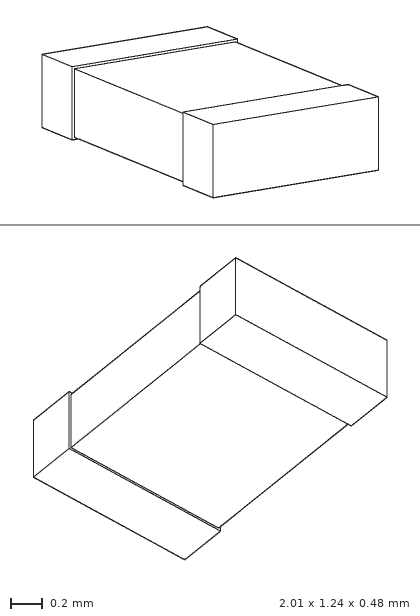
import cadquery as cq

total_length = 2.01
total_width = 1.24
total_height = 0.48

terminal_length = 0.355
terminal_step = 0.016

body_length = total_length - 2 * terminal_length
body_width = total_width - 2 * terminal_step
body_height = total_height - 2 * terminal_step


def make_body():
    """Plain ceramic block, centred on the origin, filling the space between the terminals."""
    return cq.Workplane("XY").box(body_length, body_width, body_height)


def make_terminal(side):
    """Metal end block butting against the body; side is -1 or +1 along X."""
    center_x = side * (total_length - terminal_length) / 2
    return (
        cq.Workplane("XY")
        .box(terminal_length, total_width, total_height)
        .translate((center_x, 0, 0))
    )


body = make_body()
terminals = [make_terminal(side) for side in (-1, 1)]

result = cq.Compound.makeCompound([body.val(), *[terminal.val() for terminal in terminals]])